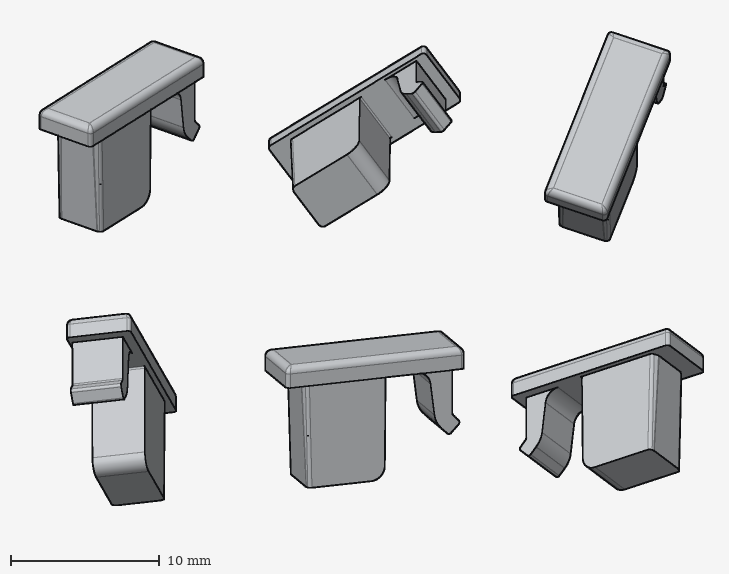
import cadquery as cq

CAP_WIDTH = 4.45
CAP_LENGTH = 12.75
CAP_HEIGHT = 1.5
CAP_TOP_RADIUS = 0.5
CAP_CORNER_RADIUS = 0.25

PLUG_HALF_WIDTH = 1.82
PLUG_DEPTH = 7.35
PLUG_BACK_TOP = 0.85
PLUG_BACK_BOTTOM = 0.79
PLUG_FRONT_TOP = -5.01
PLUG_FRONT_BOTTOM = -4.73
BEVEL_START_TOP = -4.78
BEVEL_START_BOTTOM = -4.62
FRONT_HALF_WIDTH_TOP = 1.34
FRONT_HALF_WIDTH_BOTTOM = 1.5
BEVEL_SIDE_RADIUS = 0.25
BEVEL_FRONT_RADIUS = 0.15
PLUG_TOE_RADIUS = 1.0
PLUG_ROOT_RADIUS = 0.11

HOOK_LEFT = -1.5
HOOK_RIGHT = 1.99
HOOK_OUTER_Y = 5.56
HOOK_NOTCH_Z = -3.19
HOOK_TIP = (6.15, -3.81)
HOOK_TOE = (5.33, -4.64)
HOOK_INNER_BEND = (4.35, -3.66)
HOOK_INNER_ROOT_Y = 3.89
HOOK_NOTCH_RADIUS = 0.25
HOOK_TIP_RADIUS = 0.19
HOOK_BEND_RADIUS = 1.66
HOOK_ROOT_RADIUS = 1.0

HOOK_OVERLAP = 0.13


def make_cap():
    cap = cq.Workplane("XY").box(CAP_WIDTH, CAP_LENGTH, CAP_HEIGHT, centered=(True, True, False))
    cap = cap.faces(">Z").edges().fillet(CAP_TOP_RADIUS)
    return cap.edges("|Z").fillet(CAP_CORNER_RADIUS)


def plug_section(back, bevel_start, front, front_half_width):
    return [
        (-PLUG_HALF_WIDTH, back),
        (-PLUG_HALF_WIDTH, bevel_start),
        (-front_half_width, front),
        (front_half_width, front),
        (PLUG_HALF_WIDTH, bevel_start),
        (PLUG_HALF_WIDTH, back),
    ]


def make_plug():
    top = plug_section(PLUG_BACK_TOP, BEVEL_START_TOP, PLUG_FRONT_TOP, FRONT_HALF_WIDTH_TOP)
    bottom = plug_section(
        PLUG_BACK_BOTTOM, BEVEL_START_BOTTOM, PLUG_FRONT_BOTTOM, FRONT_HALF_WIDTH_BOTTOM
    )
    plug = (
        cq.Workplane("XY")
        .polyline(top).close()
        .workplane(offset=-PLUG_DEPTH)
        .polyline(bottom).close()
        .loft(ruled=True)
    )

    bevel_radii = [BEVEL_SIDE_RADIUS, BEVEL_FRONT_RADIUS, BEVEL_FRONT_RADIUS, BEVEL_SIDE_RADIUS]
    for (top_x, top_y), (bottom_x, bottom_y), radius in zip(top[1:-1], bottom[1:-1], bevel_radii):
        edge_middle = ((top_x + bottom_x) / 2, (top_y + bottom_y) / 2, -PLUG_DEPTH / 2)
        plug = plug.edges(cq.NearestToPointSelector(edge_middle)).fillet(radius)
    return plug.faces("<Z").edges(">Y").fillet(PLUG_TOE_RADIUS)


def make_hook():
    inner_end_y = HOOK_INNER_ROOT_Y - 2 * HOOK_ROOT_RADIUS
    outline = [
        (HOOK_OUTER_Y, HOOK_OVERLAP),
        (HOOK_OUTER_Y, HOOK_NOTCH_Z),
        HOOK_TIP,
        HOOK_TOE,
        HOOK_INNER_BEND,
        (HOOK_INNER_ROOT_Y, 0),
        (inner_end_y, 0),
        (inner_end_y, HOOK_OVERLAP),
    ]
    hook = (
        cq.Workplane("YZ", origin=(HOOK_LEFT, 0, 0))
        .polyline(outline).close()
        .extrude(HOOK_RIGHT - HOOK_LEFT)
    )
    rounded_corners = [
        ((HOOK_OUTER_Y, HOOK_NOTCH_Z), HOOK_NOTCH_RADIUS),
        (HOOK_TIP, HOOK_TIP_RADIUS),
        (HOOK_TOE, HOOK_TIP_RADIUS),
        (HOOK_INNER_BEND, HOOK_BEND_RADIUS),
        ((HOOK_INNER_ROOT_Y, 0), HOOK_ROOT_RADIUS),
    ]
    middle_x = (HOOK_LEFT + HOOK_RIGHT) / 2
    for (y, z), radius in rounded_corners:
        hook = hook.edges(cq.NearestToPointSelector((middle_x, y, z))).fillet(radius)
    return hook


def add_plug_root_fillet(body):
    root = cq.NearestToPointSelector((0, PLUG_BACK_TOP, 0))
    return body.edges("|X").edges(root).fillet(PLUG_ROOT_RADIUS)


result = add_plug_root_fillet(make_cap().union(make_plug()).union(make_hook()))